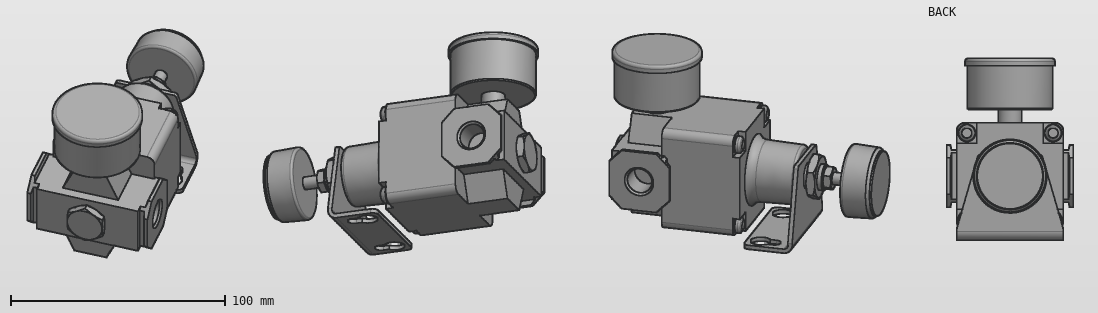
import cadquery as cq
import math


body_width = 49.8
body_half = body_width / 2
body_rear_y = 47.6
body_front_y = 9.6
body_corner_radius = 3.9
block_height = 24.5
block_half_height = block_height / 2
saddle_front_y = -10.0
saddle_base_width = 27.3
saddle_tip_width = 15.8

port_span = 59.2
flange_width = 29.2
block_front_y = -flange_width / 2
flange_thickness = 1.8
flange_taper = 0.5
flange_corner_cut = 6.1
neck_width = block_height
bore_diameter = 12.0
bore_mouth_diameter = 14.0
bore_depth = 13.0

plug_across_flats = 17.1
plug_front_y = -18.5

gauge_top_z = 55.0
gauge_bottom_z = 31.0
gauge_diameter = 40.0
gauge_edge_chamfer = 0.6
rim_diameter = 42.0
rim_height = 3.6
rim_fillet = 1.5
gauge_stem_diameter = 11.0

screw_offset = 20.1
notch_width = 9.5
notch_depth = 3.5
screw_head_diameter = 8.0
screw_neck_diameter = 7.7
screw_neck_height = 0.8
screw_head_top_y = 47.9
screw_shoulder_radius = 3.2
screw_shoulder_height = 1.2
screw_tip_radius = 2.3
screw_tip_height = 0.6

bonnet_front_radius = 17.0
bonnet_base_radius = 14.7
bonnet_tip_radius = 14.1
bonnet_flare_length = 4.5
bonnet_fillet = 1.5

sheet_thickness = 2.1
bracket_rear_y = 73.1
bracket_foot_y = 49.0
bracket_top_z = 10.1
bracket_bottom_z = -30.0
bracket_top_width = 29.6
bracket_top_fillet = 1.5
taper_bottom_z = -24.7
bend_inner_radius = 2.2
foot_corner_radius = 2.9
keyhole_offset = 18.0
keyhole_slot_width = 5.8
keyhole_slot_y = 62.5
keyhole_entry_diameter = 9.6
keyhole_entry_y = 55.8

collar_diameter = 12.5
collar_end_y = 82.2
collar_chamfer = 0.5
panel_nut_across_flats = 19.5
panel_nut_y = 75.3
panel_nut_height = 4.3
lock_nut_across_flats = 10.0
lock_nut_height = 3.8
spindle_diameter = 6.0
nut_bevel_ratio = 0.04
knob_front_y = 93.7
knob_rear_y = 108.8
knob_front_radius = 17.3
knob_rear_radius = 16.7
knob_front_fillet = 1.2
knob_cap_diameter = 30.5
knob_cap_height = 0.9
knob_shoulder_radius = 15.6
knob_shoulder_drop = 2.5


def box(x_range, y_range, z_range):
    sizes = [high - low for low, high in (x_range, y_range, z_range)]
    corner = (x_range[0], y_range[0], z_range[0])
    return cq.Workplane("XY").box(*sizes, centered=False).translate(corner)


def cylinder_y(diameter, start_y, end_y):
    """Cylinder on the Y axis."""
    return cq.Workplane("XZ", origin=(0, start_y, 0)).circle(diameter / 2).extrude(start_y - end_y)


def hexagon_nut(across_flats, start_y, end_y):
    """Hexagon on the Y axis with corners up and down, both ends bevelled round."""
    corner_radius = across_flats / math.sqrt(3)
    prism = (
        cq.Workplane("XZ", origin=(0, start_y, 0))
        .polygon(6, 2 * corner_radius)
        .extrude(start_y - end_y)
        .rotate((0, 0, 0), (0, 1, 0), 30)
    )
    flat_radius = across_flats / 2
    bevel_radial = corner_radius - flat_radius
    bevel_height = nut_bevel_ratio * across_flats
    envelope = (
        cylinder_y(2 * corner_radius, start_y, end_y)
        .faces("<Y or >Y")
        .chamfer(bevel_height, bevel_radial)
    )
    return prism.intersect(envelope)


def make_body():
    rear = (
        box((-body_half, body_half), (body_front_y, body_rear_y), (-body_half, body_half))
        .edges("|Y")
        .fillet(body_corner_radius)
    )
    front = box(
        (-body_half, body_half),
        (block_front_y, body_front_y),
        (-block_half_height, block_half_height),
    )
    base = saddle_base_width / 2
    tip = saddle_tip_width / 2
    saddle = (
        cq.Workplane("XZ", origin=(0, saddle_front_y, 0))
        .polyline([
            (-tip, body_half), (tip, body_half), (base, block_half_height),
            (base, -block_half_height), (tip, -body_half), (-tip, -body_half),
            (-base, -block_half_height), (-base, block_half_height),
        ])
        .close()
        .extrude(saddle_front_y - body_front_y)
    )
    return rear.union(front).union(saddle)


def make_screw(seat_y):
    """Cap screw on the Y axis: recessed neck, round-shouldered head and a low conical crown."""
    head_radius = screw_head_diameter / 2
    head_y = seat_y + screw_neck_height
    crown_y = screw_head_top_y - screw_tip_height
    head = (
        cq.Workplane("XY")
        .moveTo(0, head_y)
        .lineTo(head_radius, head_y)
        .lineTo(head_radius, crown_y - screw_shoulder_height)
        .tangentArcPoint((screw_shoulder_radius, crown_y), relative=False)
        .lineTo(screw_tip_radius, screw_head_top_y)
        .lineTo(0, screw_head_top_y)
        .close()
        .revolve(360, (0, 0, 0), (0, 1, 0))
    )
    return cylinder_y(screw_neck_diameter, seat_y, head_y).union(head)


def add_corner_screws(solid):
    seat_y = body_rear_y - notch_depth
    inner = body_half - notch_width
    for x_side in (-1, 1):
        for z_side in (-1, 1):
            notch = box((inner, body_half), (seat_y, body_rear_y), (inner, body_half))
            if x_side < 0:
                notch = notch.mirror("YZ")
            if z_side < 0:
                notch = notch.mirror("XY")
            screw_position = (x_side * screw_offset, 0, z_side * screw_offset)
            solid = solid.cut(notch).union(make_screw(seat_y).translate(screw_position))
    return solid


def make_ports():
    """Both flanges and their necks, running through the front block."""
    outer_x = port_span / 2
    taper_x = outer_x - flange_thickness
    neck_x = taper_x - flange_taper
    flange_half = flange_width / 2
    neck_half = neck_width / 2
    neck = box((0, neck_x), (-neck_half, neck_half), (-neck_half, neck_half))
    flange = box((taper_x, outer_x), (-flange_half, flange_half), (-flange_half, flange_half))
    taper = (
        cq.Workplane("YZ", origin=(neck_x, 0, 0))
        .rect(neck_width, neck_width)
        .workplane(offset=flange_taper)
        .rect(flange_width, flange_width)
        .loft(ruled=True)
    )
    octagon = (
        box((0, outer_x), (-flange_half, flange_half), (-flange_half, flange_half))
        .edges("|X")
        .chamfer(flange_corner_cut)
    )
    port = neck.union(taper).union(flange).intersect(octagon)
    return port.union(port.mirror("YZ"))


def make_bores():
    outer_x = port_span / 2
    bore = cq.Workplane("YZ", origin=(outer_x, 0, 0)).circle(bore_diameter / 2).extrude(-bore_depth)
    mouth_depth = (bore_mouth_diameter - bore_diameter) / 2
    mouth = (
        cq.Workplane("YZ", origin=(outer_x, 0, 0))
        .circle(bore_mouth_diameter / 2)
        .workplane(offset=-mouth_depth)
        .circle(bore_diameter / 2)
        .loft()
    )
    bore = bore.union(mouth)
    return bore.union(bore.mirror("YZ"))


def make_gauge():
    stem_height = gauge_bottom_z - block_half_height
    stem = (
        cq.Workplane("XY", origin=(0, 0, block_half_height))
        .circle(gauge_stem_diameter / 2)
        .extrude(stem_height)
    )
    case = (
        cq.Workplane("XY", origin=(0, 0, gauge_bottom_z))
        .circle(gauge_diameter / 2)
        .extrude(gauge_top_z - gauge_bottom_z - rim_height)
        .faces("<Z")
        .chamfer(gauge_edge_chamfer)
    )
    rim = (
        cq.Workplane("XY", origin=(0, 0, gauge_top_z - rim_height))
        .circle(rim_diameter / 2)
        .extrude(rim_height)
        .faces(">Z")
        .edges()
        .fillet(rim_fillet)
    )
    return stem.union(case).union(rim)


def make_bonnet():
    """Slightly conical sleeve that flares out into the rear face of the body."""
    flare_end_y = body_rear_y + bonnet_flare_length
    tip_y = bracket_rear_y - sheet_thickness
    flare_width = bonnet_front_radius - bonnet_base_radius
    flare_radius = (flare_width ** 2 + bonnet_flare_length ** 2) / (2 * flare_width)
    return (
        cq.Workplane("XY")
        .moveTo(0, body_rear_y)
        .lineTo(bonnet_front_radius, body_rear_y)
        .radiusArc((bonnet_base_radius, flare_end_y), flare_radius)
        .lineTo(bonnet_tip_radius, tip_y)
        .lineTo(0, tip_y)
        .close()
        .revolve(360, (0, 0, 0), (0, 1, 0))
        .faces(">Y")
        .edges()
        .fillet(bonnet_fillet)
    )


def make_bracket():
    """Bent sheet: a tapered plate held behind the bonnet and a foot with two keyholes."""
    plate_front_y = bracket_rear_y - sheet_thickness
    x_range = (-body_half, body_half)
    plate = box(x_range, (plate_front_y, bracket_rear_y), (bracket_bottom_z, bracket_top_z))
    foot = box(
        x_range,
        (bracket_foot_y, bracket_rear_y),
        (bracket_bottom_z, bracket_bottom_z + sheet_thickness),
    )
    foot = foot.edges("|Z and <Y").fillet(foot_corner_radius)
    bent = plate.union(foot)
    inner_corner = (0, plate_front_y, bracket_bottom_z + sheet_thickness)
    outer_corner = (0, bracket_rear_y, bracket_bottom_z)
    bent = bent.edges(cq.selectors.NearestToPointSelector(inner_corner)).fillet(bend_inner_radius)
    bent = bent.edges(cq.selectors.NearestToPointSelector(outer_corner)).fillet(
        bend_inner_radius + sheet_thickness
    )

    top_half = bracket_top_width / 2
    outline = (
        cq.Workplane("XZ", origin=(0, bracket_rear_y, 0))
        .polyline([
            (-top_half, bracket_top_z), (top_half, bracket_top_z),
            (body_half, taper_bottom_z), (body_half, bracket_bottom_z),
            (-body_half, bracket_bottom_z), (-body_half, taper_bottom_z),
        ])
        .close()
        .extrude(bracket_rear_y - bracket_foot_y)
        .edges("|Y and >Z")
        .fillet(bracket_top_fillet)
    )
    bent = bent.intersect(outline)

    keyhole_x = [(-keyhole_offset, 0), (keyhole_offset, 0)]
    slot_length = keyhole_slot_y - keyhole_entry_y
    base = cq.Workplane("XY", origin=(0, 0, bracket_bottom_z))
    entry = base.center(0, keyhole_entry_y).pushPoints(keyhole_x)
    entry = entry.circle(keyhole_entry_diameter / 2).extrude(sheet_thickness)
    slot = base.center(0, keyhole_entry_y + slot_length / 2).pushPoints(keyhole_x)
    slot = slot.slot2D(slot_length + keyhole_slot_width, keyhole_slot_width, 90).extrude(sheet_thickness)
    return bent.cut(entry).cut(slot)


def make_spindle():
    """Threaded collar with its panel nut, then the lock nut and the spindle rod."""
    collar = (
        cylinder_y(collar_diameter, bracket_rear_y - sheet_thickness, collar_end_y)
        .faces(">Y")
        .chamfer(collar_chamfer)
    )
    panel_nut = hexagon_nut(panel_nut_across_flats, panel_nut_y, panel_nut_y + panel_nut_height)
    lock_nut = hexagon_nut(lock_nut_across_flats, collar_end_y, collar_end_y + lock_nut_height)
    rod = cylinder_y(spindle_diameter, collar_end_y, knob_front_y)
    return collar.union(panel_nut).union(lock_nut).union(rod)


def make_knob():
    cap_y = knob_rear_y - knob_cap_height
    cap_radius = knob_cap_diameter / 2
    return (
        cq.Workplane("XY")
        .polyline([
            (0, knob_front_y),
            (knob_front_radius, knob_front_y),
            (knob_rear_radius, knob_rear_y - knob_shoulder_drop),
            (knob_shoulder_radius, cap_y),
            (cap_radius, cap_y),
            (cap_radius, knob_rear_y),
            (0, knob_rear_y),
        ])
        .close()
        .revolve(360, (0, 0, 0), (0, 1, 0))
        .faces("<Y")
        .edges()
        .fillet(knob_front_fillet)
    )


result = (
    add_corner_screws(make_body())
    .union(make_ports())
    .union(hexagon_nut(plug_across_flats, plug_front_y, block_front_y))
    .union(make_gauge())
    .union(make_bonnet())
    .union(make_bracket())
    .union(make_spindle())
    .union(make_knob())
    .cut(make_bores())
)